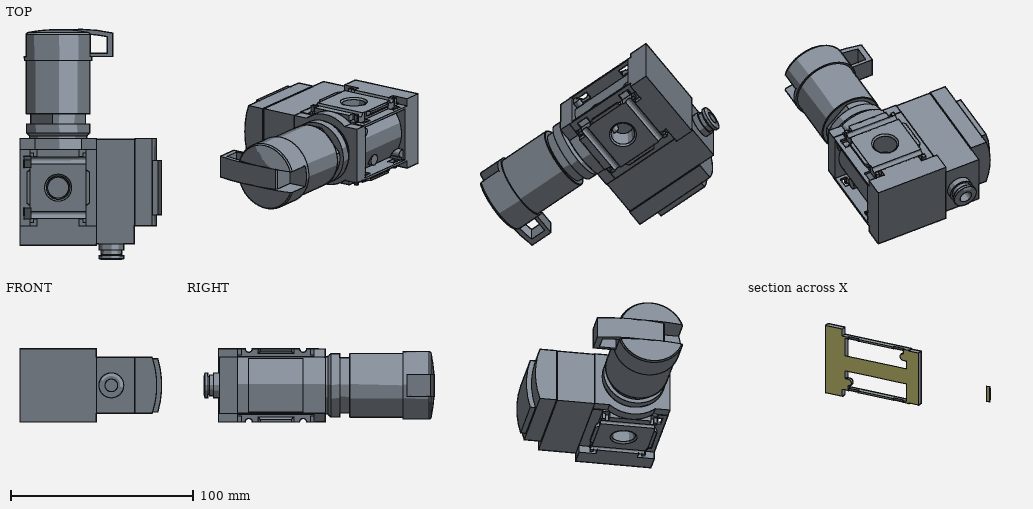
import cadquery as cq
import math


HOUSING_WIDTH = 42.0
HOUSING_HEIGHT = 40.3
HALF_WIDTH = HOUSING_WIDTH / 2
HALF_HEIGHT = HOUSING_HEIGHT / 2
HOUSING_FRONT_Y = -31.6
HOUSING_BACK_Y = 27.1
MIDDLE_HALF_LENGTH = 21.0
LEDGE_Z = 16.0
SHOULDER_Z = 15.6
PLATE_HALF_WIDTH = 15.3

PORT_DIAMETER = 12.9
PORT_MOUTH_DIAMETER = 14.8
PORT_FLOOR_DIAMETER = 11.5
PORT_DEPTH = 12.7
GROOVE_RADIUS = 1.9
GROOVE_Y = 15.0
NOTCH_LENGTH = 3.8
NOTCH_DEPTH = 3.4
NOTCH_WIDTH = 3.8
POST_SIZE = 1.8
CATCH_HALF_LENGTH = 9.9
CATCH_REACH = 1.9
CATCH_END_TAPER = 1.4
CATCH_TOP_DROP = 0.1
CATCH_BOTTOM_DROP = 2.7
CATCH_BEVEL = 1.4

POCKET_HALF_LENGTH = 19.1
POCKET_HALF_HEIGHT = 14.7
CORE_RADIUS = 18.6
LUG_FACE_X = -19.7
LUG_RADIUS = 2.0
LUG_Y = 17.2
LUG_Z = 11.0
BUTTON_DIAMETER = 6.1
BUTTON_FACE_X = -17.9
BUTTON_Y = 6.0
BUTTON_Z = -8.5
SLOT_OUTER_X = -18.7
SLOT_INNER_X = -15.0
SLOT_LENGTH = 6.2
SLOT_Y = 14.2

COLLAR_DIAMETER = 31.6
RING_DIAMETER = 35.0
NECK_DIAMETER = 30.4
KNOB_DIAMETER = 35.2
CAP_DIAMETER = 37.2
COLLAR_END_Y = 28.5
RING_START_Y = 30.1
RING_END_Y = 35.1
KNOB_START_Y = 40.4
CAP_START_Y = 69.8
CAP_EDGE_Y = 84.2
DOME_EDGE_Y = 85.2
DOME_TOP_Y = 87.1
DOME_EDGE_RADIUS = 18.0
KNOB_CHAMFER = 0.4
NECK_FLAT_DISTANCE = 12.7

SLIDE_WIDTH = 12.0
SLIDE_BOTTOM_Y = 72.0
SLIDE_LEFT_X = -7.6
SLIDE_RIGHT_X = 30.1
SLIDE_END_Y = 85.0
SLIDE_BEVEL = 0.8
WINDOW_LEFT_X = 17.7
WINDOW_RIGHT_X = 27.0
WINDOW_BOTTOM_Y = 73.9
SLIDE_TOP_WALL = 2.7

SENSOR_HEIGHT = 30.9
SENSOR_FRONT_Y = -30.9
SENSOR_BACK_Y = 26.7
SENSOR_BASE_END_X = 41.9
SEAM_WIDTH = 0.4
SEAM_DEPTH = 0.4
HEAD_FRONT_Y = -21.0
HEAD_BACK_Y = 27.1
HEAD_EDGE_X = 51.7
HEAD_CROWN = 2.5
LENS_LENGTH = 29.9
LENS_HEIGHT = 29.4
LENS_THICKNESS = 2.8

PLUG_X = 29.2
PLUG_DIAMETER = 13.7
PLUG_STEP_DIAMETER = 11.5
PLUG_GROOVE_DIAMETER = 10.0
PLUG_BORE_DIAMETER = 7.0
PLUG_BORE_DEPTH = 6.3
PLUG_STEP_Y = -34.3
PLUG_GROOVE_Y = -36.6
PLUG_FLANGE_Y = -37.3
PLUG_RIM_Y = -39.0
PLUG_TIP_Y = -39.5


def block(x0, x1, y0, y1, z0, z1):
    """Box between two opposite corners."""
    return cq.Workplane("XY").box(x1 - x0, y1 - y0, z1 - z0, centered=False).translate((x0, y0, z0))


def y_cylinder(radius, y0, y1):
    """Cylinder about the Y axis from y0 to y1."""
    return cq.Workplane("XZ", origin=(0, y0, 0)).circle(radius).extrude(-(y1 - y0))


def arc_height(radius, x):
    """Height of a circle above its centre at the sideways distance x."""
    return math.sqrt(radius**2 - x**2)


def both_faces(shape):
    """The shape together with its mirror image on the underside."""
    return shape.union(shape.mirror("XY"))


def all_corners(shape):
    """The shape copied to all eight corners of the housing by mirroring in X, Y and Z."""
    shape = shape.union(shape.mirror("YZ"))
    shape = shape.union(shape.mirror("XZ"))
    return both_faces(shape)


def make_housing_blank():
    foot = block(-HALF_WIDTH, HALF_WIDTH, HOUSING_FRONT_Y, -MIDDLE_HALF_LENGTH, -HALF_HEIGHT, HALF_HEIGHT)
    ledges = block(-HALF_WIDTH, HALF_WIDTH, -MIDDLE_HALF_LENGTH, MIDDLE_HALF_LENGTH, -LEDGE_Z, LEDGE_Z)
    plates = block(
        -PLATE_HALF_WIDTH, PLATE_HALF_WIDTH, -MIDDLE_HALF_LENGTH, MIDDLE_HALF_LENGTH,
        -HALF_HEIGHT, HALF_HEIGHT,
    )
    shoulder = block(-HALF_WIDTH, HALF_WIDTH, MIDDLE_HALF_LENGTH, HOUSING_BACK_Y, -SHOULDER_Z, SHOULDER_Z)
    crown = y_cylinder(HALF_HEIGHT, MIDDLE_HALF_LENGTH, HOUSING_BACK_Y)
    return foot.union(ledges).union(plates).union(shoulder).union(crown)


def make_ports():
    """Slightly tapered blind holes with a chamfered mouth in the top and bottom plates."""
    mouth_depth = (PORT_MOUTH_DIAMETER - PORT_DIAMETER) / 2
    profile = [
        (0, HALF_HEIGHT),
        (PORT_MOUTH_DIAMETER / 2, HALF_HEIGHT),
        (PORT_DIAMETER / 2, HALF_HEIGHT - mouth_depth),
        (PORT_FLOOR_DIAMETER / 2, HALF_HEIGHT - PORT_DEPTH),
        (0, HALF_HEIGHT - PORT_DEPTH),
    ]
    port = cq.Workplane("XZ").polyline(profile).close().revolve(360, (0, 0), (0, 1))
    return both_faces(port)


def make_grooves():
    """Half-round grooves across the plates, two on each face."""
    centres = [(y, z) for y in (-GROOVE_Y, GROOVE_Y) for z in (-HALF_HEIGHT, HALF_HEIGHT)]
    start = cq.Workplane("YZ", origin=(-PLATE_HALF_WIDTH, 0, 0))
    return start.pushPoints(centres).circle(GROOVE_RADIUS).extrude(2 * PLATE_HALF_WIDTH)


def make_notches():
    """Corner notches in the plates, each with a post left standing."""
    notch_inner_y = MIDDLE_HALF_LENGTH - NOTCH_LENGTH
    floor_z = HALF_HEIGHT - NOTCH_DEPTH
    notch = block(
        PLATE_HALF_WIDTH - NOTCH_WIDTH, PLATE_HALF_WIDTH, notch_inner_y, MIDDLE_HALF_LENGTH,
        floor_z, HALF_HEIGHT,
    )
    post = block(
        PLATE_HALF_WIDTH - POST_SIZE, PLATE_HALF_WIDTH, notch_inner_y, notch_inner_y + POST_SIZE,
        floor_z, HALF_HEIGHT,
    )
    return all_corners(notch.cut(post))


def make_catches():
    """Tapered catches on the sides of the plates, with a bevelled underside."""
    root_x = PLATE_HALF_WIDTH
    tip_x = root_x + CATCH_REACH
    tip_half_length = CATCH_HALF_LENGTH - CATCH_END_TAPER
    catch = (
        cq.Workplane("XY", origin=(0, 0, HALF_HEIGHT - CATCH_BOTTOM_DROP))
        .moveTo(root_x, -CATCH_HALF_LENGTH)
        .lineTo(tip_x, -tip_half_length)
        .lineTo(tip_x, tip_half_length)
        .lineTo(root_x, CATCH_HALF_LENGTH)
        .close()
        .extrude(CATCH_BOTTOM_DROP - CATCH_TOP_DROP)
        .faces("<Z").edges(">X").chamfer(CATCH_BEVEL)
    )
    return both_faces(catch.union(catch.mirror("YZ")))


def make_side_pocket():
    """Window in the -X side that opens onto the round core."""
    window = block(
        -HALF_WIDTH, 0, -POCKET_HALF_LENGTH, POCKET_HALF_LENGTH, -POCKET_HALF_HEIGHT, POCKET_HALF_HEIGHT
    )
    core = y_cylinder(CORE_RADIUS, -POCKET_HALF_LENGTH, POCKET_HALF_LENGTH)
    return window.cut(core)


def make_lugs():
    """Screw lugs in two opposite corners of the side pocket."""
    round_end = cq.Workplane("YZ", origin=(LUG_FACE_X, 0, 0)).center(LUG_Y, LUG_Z).circle(LUG_RADIUS)
    lug = round_end.extrude(-LUG_FACE_X)
    web = block(LUG_FACE_X, 0, LUG_Y, POCKET_HALF_LENGTH, LUG_Z - LUG_RADIUS, POCKET_HALF_HEIGHT)
    lug = lug.union(web)
    return lug.union(lug.rotate((0, 0, 0), (1, 0, 0), 180))


def make_button():
    button = cq.Workplane("YZ", origin=(BUTTON_FACE_X, 0, 0)).center(BUTTON_Y, BUTTON_Z)
    return button.circle(BUTTON_DIAMETER / 2).extrude(-BUTTON_FACE_X)


def make_ledge_slots():
    """Rectangular slots through the walls above and below the side pocket."""
    slots = cq.Workplane("XY")
    for y in (-SLOT_Y, SLOT_Y):
        slot = block(
            SLOT_OUTER_X, SLOT_INNER_X, y - SLOT_LENGTH / 2, y + SLOT_LENGTH / 2,
            POCKET_HALF_HEIGHT, HALF_HEIGHT,
        )
        slots = slots.add(slot)
    return both_faces(slots.combine())


def make_knob():
    """Collar, ring, neck and domed knob as one turned shape, with a flat on the neck."""
    profile = (
        cq.Workplane("XY")
        .moveTo(0, HOUSING_BACK_Y)
        .lineTo(COLLAR_DIAMETER / 2, HOUSING_BACK_Y)
        .lineTo(COLLAR_DIAMETER / 2, COLLAR_END_Y)
        .lineTo(RING_DIAMETER / 2, RING_START_Y)
        .lineTo(RING_DIAMETER / 2, RING_END_Y)
        .lineTo(NECK_DIAMETER / 2, RING_END_Y)
        .lineTo(NECK_DIAMETER / 2, KNOB_START_Y)
        .lineTo(KNOB_DIAMETER / 2 - KNOB_CHAMFER, KNOB_START_Y)
        .lineTo(KNOB_DIAMETER / 2, KNOB_START_Y + KNOB_CHAMFER)
        .lineTo(KNOB_DIAMETER / 2, CAP_START_Y)
        .lineTo(CAP_DIAMETER / 2, CAP_START_Y)
        .lineTo(CAP_DIAMETER / 2, CAP_EDGE_Y)
        .lineTo(DOME_EDGE_RADIUS, DOME_EDGE_Y)
    )
    dome_rise = DOME_TOP_Y - DOME_EDGE_Y
    dome_radius = (DOME_EDGE_RADIUS**2 + dome_rise**2) / (2 * dome_rise)
    half_way_x = DOME_EDGE_RADIUS / 2
    half_way_y = DOME_TOP_Y - dome_radius + arc_height(dome_radius, half_way_x)
    profile = profile.threePointArc((half_way_x, half_way_y), (0, DOME_TOP_Y)).close()
    knob = profile.revolve(360, (0, 0), (0, 1))

    flat_cutter = block(
        -CAP_DIAMETER, -NECK_FLAT_DISTANCE, RING_END_Y, KNOB_START_Y, -NECK_DIAMETER / 2, NECK_DIAMETER / 2
    )
    return knob.cut(flat_cutter.rotate((0, 0, 0), (0, 1, 0), 45))


def make_slide_channel():
    """Channel across the full width of the knob for the locking slide."""
    return block(
        -CAP_DIAMETER, CAP_DIAMETER, SLIDE_BOTTOM_Y, DOME_TOP_Y, -SLIDE_WIDTH / 2, SLIDE_WIDTH / 2
    )


def make_slide():
    """Locking slide with an arched top and a window for the padlock."""
    middle_x = (SLIDE_LEFT_X + SLIDE_RIGHT_X) / 2
    half_span = (SLIDE_RIGHT_X - SLIDE_LEFT_X) / 2
    rise = DOME_TOP_Y - SLIDE_END_Y
    arch_radius = (half_span**2 + rise**2) / (2 * rise)
    arch_centre_y = DOME_TOP_Y - arch_radius
    inner_radius = arch_radius - SLIDE_TOP_WALL

    def arch_y(radius, x):
        return arch_centre_y + arc_height(radius, x - middle_x)

    bevel_x = SLIDE_LEFT_X + SLIDE_BEVEL
    body = (
        cq.Workplane("XY", origin=(0, 0, -SLIDE_WIDTH / 2))
        .moveTo(SLIDE_LEFT_X, SLIDE_BOTTOM_Y)
        .lineTo(SLIDE_RIGHT_X, SLIDE_BOTTOM_Y)
        .lineTo(SLIDE_RIGHT_X, SLIDE_END_Y)
        .threePointArc((middle_x, DOME_TOP_Y), (bevel_x, arch_y(arch_radius, bevel_x)))
        .lineTo(SLIDE_LEFT_X, SLIDE_END_Y - SLIDE_BEVEL)
        .close()
        .extrude(SLIDE_WIDTH)
    )
    window_middle_x = (WINDOW_LEFT_X + WINDOW_RIGHT_X) / 2
    window = (
        cq.Workplane("XY", origin=(0, 0, -SLIDE_WIDTH / 2))
        .moveTo(WINDOW_LEFT_X, WINDOW_BOTTOM_Y)
        .lineTo(WINDOW_RIGHT_X, WINDOW_BOTTOM_Y)
        .lineTo(WINDOW_RIGHT_X, arch_y(inner_radius, WINDOW_RIGHT_X))
        .threePointArc(
            (window_middle_x, arch_y(inner_radius, window_middle_x)),
            (WINDOW_LEFT_X, arch_y(inner_radius, WINDOW_LEFT_X)),
        )
        .close()
        .extrude(SLIDE_WIDTH)
    )
    return body.cut(window)


def make_regulator():
    """Housing, knob and locking slide as one solid."""
    housing = make_housing_blank().cut(make_ports()).cut(make_grooves()).cut(make_notches())
    housing = housing.union(make_catches())
    housing = housing.cut(make_side_pocket()).union(make_lugs()).union(make_button())
    housing = housing.cut(make_ledge_slots())
    knob = make_knob().cut(make_slide_channel()).union(make_slide())
    return housing.union(knob)


def crowned_block(x0, edge_x, crown, y0, y1, height):
    """Block whose +X face bulges as an arc, from edge_x at the rims out by the crown."""
    half = height / 2
    return (
        cq.Workplane("XZ", origin=(0, y0, 0))
        .moveTo(x0, -half)
        .lineTo(edge_x, -half)
        .threePointArc((edge_x + crown, 0), (edge_x, half))
        .lineTo(x0, half)
        .close()
        .extrude(-(y1 - y0))
    )


def make_plug():
    """Round plug on the front of the sensor, with a ring groove and a blind bore."""
    profile = [
        (0, SENSOR_FRONT_Y),
        (PLUG_DIAMETER / 2, SENSOR_FRONT_Y),
        (PLUG_DIAMETER / 2, PLUG_STEP_Y),
        (PLUG_STEP_DIAMETER / 2, PLUG_STEP_Y),
        (PLUG_STEP_DIAMETER / 2, PLUG_GROOVE_Y),
        (PLUG_GROOVE_DIAMETER / 2, PLUG_GROOVE_Y),
        (PLUG_GROOVE_DIAMETER / 2, PLUG_FLANGE_Y),
        (PLUG_DIAMETER / 2, PLUG_FLANGE_Y),
        (PLUG_DIAMETER / 2, PLUG_RIM_Y),
        (PLUG_GROOVE_DIAMETER / 2, PLUG_TIP_Y),
        (PLUG_BORE_DIAMETER / 2, PLUG_TIP_Y),
        (PLUG_BORE_DIAMETER / 2, PLUG_TIP_Y + PLUG_BORE_DEPTH),
        (0, PLUG_TIP_Y + PLUG_BORE_DEPTH),
    ]
    plug = cq.Workplane("XY").polyline(profile).close().revolve(360, (0, 0), (0, 1))
    return plug.translate((PLUG_X, 0, 0))


def make_sensor():
    """Sensor base, crowned display head, display lens and plug as one solid."""
    half = SENSOR_HEIGHT / 2
    base = block(HALF_WIDTH, SENSOR_BASE_END_X, SENSOR_FRONT_Y, SENSOR_BACK_Y, -half, half)
    head_start_x = SENSOR_BASE_END_X + SEAM_WIDTH
    seam = block(
        SENSOR_BASE_END_X, head_start_x, HEAD_FRONT_Y + SEAM_DEPTH, SENSOR_BACK_Y - SEAM_DEPTH,
        -half + SEAM_DEPTH, half - SEAM_DEPTH,
    )
    head = crowned_block(head_start_x, HEAD_EDGE_X, HEAD_CROWN, HEAD_FRONT_Y, HEAD_BACK_Y, SENSOR_HEIGHT)

    crown_radius = (half**2 + HEAD_CROWN**2) / (2 * HEAD_CROWN)
    lens_radius = crown_radius + LENS_THICKNESS
    lens_crown = lens_radius - arc_height(lens_radius, LENS_HEIGHT / 2)
    lens_edge_x = HEAD_EDGE_X + HEAD_CROWN + LENS_THICKNESS - lens_crown
    lens_end_y = LENS_LENGTH / 2
    lens = crowned_block(head_start_x, lens_edge_x, lens_crown, -lens_end_y, lens_end_y, LENS_HEIGHT)
    return base.union(seam).union(head).union(lens).union(make_plug())


regulator = make_regulator()
sensor = make_sensor()

result = cq.Compound.makeCompound([regulator.val(), sensor.val()])